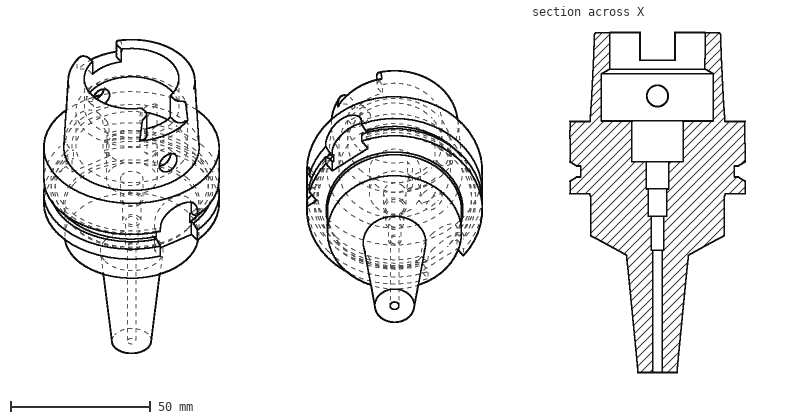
import cadquery as cq
import math

total_height = 122.0
flange_top = 90.0
flange_bottom = 64.0
relief_height = 1.0
body_bottom = 49.0
nose_top = 42.1

flange_radius = 31.5
groove_radius = 27.6
body_radius = 24.0
relief_radius = 24.5
taper_base_radius = 24.3
taper_top_radius = 22.7
nose_top_radius = 11.2
nose_tip_radius = 7.1
rim_fillet = 1.2

groove_floor_bottom = 70.2
groove_floor_top = 74.0
groove_wall_height = 1.5
groove_edge_radius = 29.0

mouth_radius = 17.0
recess_radius = 20.0
recess_top = 108.8
recess_slope = math.radians(60)
recess_floor = 90.3
coolant_radius = 9.2
coolant_floor = 75.6
upper_step_radius = 4.0
upper_step_floor = 65.9
middle_step_radius = 3.3
middle_step_floor = 56.1
lower_step_radius = 2.2
lower_step_floor = 43.9
through_radius = 1.6

notch_width = 12.5
notch_flat_offset = 20.7
notch_corner_radius = 2.6
left_notch_floor = 116.1
right_notch_floor = 112.0

cross_hole_radius = 3.8
cross_hole_height = 99.2

keyway_width = 16.0
keyway_floor_offset = 26.6
keyway_top = 85.2
index_x = -19.9
index_y = 20.0
index_arc_radius = 7.0
index_arc_height = 78.9

clearance = 12.2


def make_outside():
    """Revolved outer shape: nose, body, grooved flange and taper."""
    groove_lower_edge = groove_floor_bottom - groove_wall_height
    groove_upper_edge = groove_floor_top + groove_wall_height
    profile = [
        (0, 0),
        (nose_tip_radius, 0),
        (nose_top_radius, nose_top),
        (body_radius, body_bottom),
        (body_radius, flange_bottom - relief_height),
        (relief_radius, flange_bottom),
        (flange_radius, flange_bottom),
        (flange_radius, groove_lower_edge),
        (groove_edge_radius, groove_floor_bottom),
        (groove_radius, groove_floor_bottom),
        (groove_radius, groove_floor_top),
        (groove_edge_radius, groove_floor_top),
        (flange_radius, groove_upper_edge),
        (flange_radius, flange_top),
        (taper_base_radius, flange_top),
        (taper_top_radius, total_height),
        (0, total_height),
    ]
    outside = cq.Workplane("XZ").polyline(profile).close().revolve(360, (0, 0), (0, 1))
    return outside.faces(">Z").edges().fillet(rim_fillet)


def make_bore():
    """Revolved cavity: mouth, wider clamping recess and stepped coolant bore."""
    recess_slope_height = (recess_radius - mouth_radius) / math.tan(recess_slope)
    profile = [
        (0, 0),
        (through_radius, 0),
        (through_radius, lower_step_floor),
        (lower_step_radius, lower_step_floor),
        (lower_step_radius, middle_step_floor),
        (middle_step_radius, middle_step_floor),
        (middle_step_radius, upper_step_floor),
        (upper_step_radius, upper_step_floor),
        (upper_step_radius, coolant_floor),
        (coolant_radius, coolant_floor),
        (coolant_radius, recess_floor),
        (recess_radius, recess_floor),
        (recess_radius, recess_top - recess_slope_height),
        (mouth_radius, recess_top),
        (mouth_radius, total_height),
        (0, total_height),
    ]
    return cq.Workplane("XZ").polyline(profile).close().revolve(360, (0, 0), (0, 1))


def make_drive_notch(side, floor):
    """Cutter for one rim notch on the side -1 or +1 of X, flaring to a flat outside."""
    half_width = notch_width / 2
    half_flat = body_radius
    outer = side * (flange_radius + clearance)
    flat = side * notch_flat_offset
    corner_start = side * (notch_flat_offset - notch_corner_radius)
    corner_end = half_width + notch_corner_radius
    return (
        cq.Workplane("XY", origin=(0, 0, floor))
        .moveTo(0, -half_width)
        .lineTo(corner_start, -half_width)
        .radiusArc((flat, -corner_end), side * notch_corner_radius)
        .lineTo(flat, -half_flat)
        .lineTo(outer, -half_flat)
        .lineTo(outer, half_flat)
        .lineTo(flat, half_flat)
        .lineTo(flat, corner_end)
        .radiusArc((corner_start, half_width), side * notch_corner_radius)
        .lineTo(0, half_width)
        .close()
        .extrude(total_height - floor + clearance)
    )


def make_round_topped_slot(y_center, radius, arc_height, depth_from, side):
    """Cutter open at the flange underside, running outward along X from depth_from."""
    return (
        cq.Workplane("YZ", origin=(depth_from, 0, 0))
        .moveTo(y_center - radius, flange_bottom)
        .lineTo(y_center - radius, arc_height)
        .threePointArc((y_center, arc_height + radius), (y_center + radius, arc_height))
        .lineTo(y_center + radius, flange_bottom)
        .close()
        .extrude(side * flange_radius)
    )


result = make_outside().cut(make_bore())

for notch_side, notch_floor in ((-1, left_notch_floor), (1, right_notch_floor)):
    result = result.cut(make_drive_notch(notch_side, notch_floor))

cross_hole = (
    cq.Workplane("YZ")
    .center(0, cross_hole_height)
    .circle(cross_hole_radius)
    .extrude(flange_radius, both=True)
)
result = result.cut(cross_hole)

keyway_radius = keyway_width / 2
for keyway_side in (-1, 1):
    keyway = make_round_topped_slot(
        0, keyway_radius, keyway_top - keyway_radius, keyway_side * keyway_floor_offset, keyway_side
    )
    result = result.cut(keyway)

index_notch = make_round_topped_slot(
    index_y + index_arc_radius, index_arc_radius, index_arc_height, index_x, -1
)
result = result.cut(index_notch)